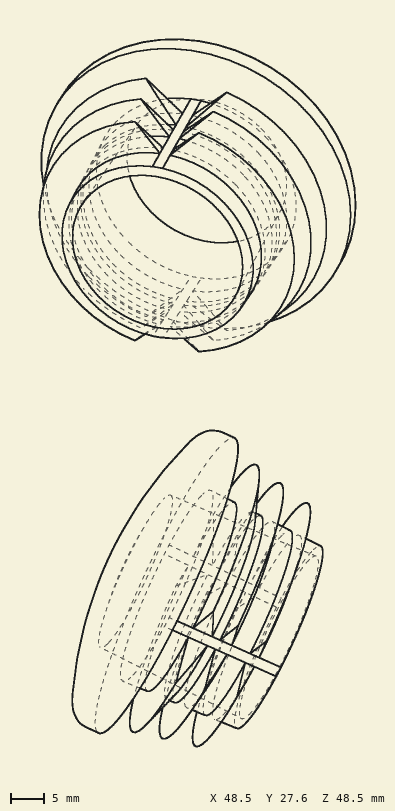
import cadquery as cq
import math


cap_radius = 24.25
cap_face_y = 18.6
cap_rim_y = 20.6
dome_edge_radius = 22.15
dome_edge_y = 23.4
dome_top_y = 27.6

skirt_root_radius = 15.65
skirt_end_radius = 15.0
skirt_slope = (skirt_root_radius - skirt_end_radius) / cap_face_y

bore_mouth_radius = 13.35
bore_floor_radius = 12.5
dome_wall = 2.42

fins = [
    (21.95, 11.45, 13.95, 14.6),
    (21.0, 8.2, 9.5, 10.15),
    (20.0, 3.65, 4.5, 5.15),
]
wall_overlap = 0.5

strip_width = 1.6
gap_depth = 9.7


def skirt_radius(y):
    return skirt_end_radius + skirt_slope * y


def revolve_about_y(profile):
    return profile.close().revolve(360, (0, 0, 0), (0, 1, 0))


def dome_height(radius, top_y):
    """Y of a dome concentric with the cap dome at a given distance from the axis."""
    cap_rise = dome_top_y - dome_edge_y
    sphere_radius = (dome_edge_radius**2 + cap_rise**2) / (2 * cap_rise)
    centre_y = dome_top_y - sphere_radius
    return centre_y + math.sqrt((top_y - centre_y) ** 2 - radius**2)


def make_body():
    return revolve_about_y(
        cq.Workplane("XY")
        .lineTo(skirt_end_radius, 0)
        .lineTo(skirt_root_radius, cap_face_y)
        .lineTo(cap_radius, cap_face_y)
        .lineTo(cap_radius, cap_rim_y)
        .tangentArcPoint((dome_edge_radius, dome_edge_y), relative=False)
        .threePointArc(
            (dome_edge_radius / 2, dome_height(dome_edge_radius / 2, dome_top_y)),
            (0, dome_top_y),
        )
    )


def make_bore():
    floor_top_y = dome_top_y - dome_wall
    half_radius = bore_floor_radius / 2
    return revolve_about_y(
        cq.Workplane("XY")
        .lineTo(bore_mouth_radius, 0)
        .lineTo(bore_floor_radius, dome_height(bore_floor_radius, floor_top_y))
        .threePointArc((half_radius, dome_height(half_radius, floor_top_y)), (0, floor_top_y))
    )


def make_fin(tip_radius, front_y, tip_y, back_y):
    inner_radius = skirt_radius(front_y) - wall_overlap
    return revolve_about_y(
        cq.Workplane("XY")
        .moveTo(inner_radius, front_y)
        .lineTo(skirt_radius(front_y), front_y)
        .lineTo(tip_radius, tip_y)
        .lineTo(skirt_radius(back_y), back_y)
        .lineTo(inner_radius, back_y)
    )


def gap_outline(y):
    """V opening at 45 degrees per side, with its foot on the skirt surface."""
    foot_z = skirt_radius(y)
    half_foot = strip_width / 2
    half_mouth = half_foot + gap_depth
    points = [
        (-half_foot, foot_z - wall_overlap),
        (half_foot, foot_z - wall_overlap),
        (half_foot, foot_z),
        (half_mouth, foot_z + gap_depth),
        (-half_mouth, foot_z + gap_depth),
        (-half_foot, foot_z),
    ]
    return cq.Wire.makePolygon([cq.Vector(x, y, z) for x, z in points], close=True)


def make_gap():
    return cq.Workplane(cq.Solid.makeLoft([gap_outline(0), gap_outline(cap_face_y)], True))


def make_strip():
    """Flat-topped strip along the skirt, tangent to it and tapering with it."""
    half_width = strip_width / 2
    return (
        cq.Workplane("YZ")
        .moveTo(0, skirt_end_radius - wall_overlap)
        .lineTo(0, skirt_end_radius)
        .lineTo(cap_face_y, skirt_root_radius)
        .lineTo(cap_face_y, skirt_end_radius - wall_overlap)
        .close()
        .extrude(half_width, both=True)
    )


gap = make_gap()
strip = make_strip()
result = make_body()
for fin_sizes in fins:
    result = result.union(make_fin(*fin_sizes).cut(gap).cut(gap.mirror("XY")))
result = result.union(strip).union(strip.mirror("XY")).cut(make_bore())